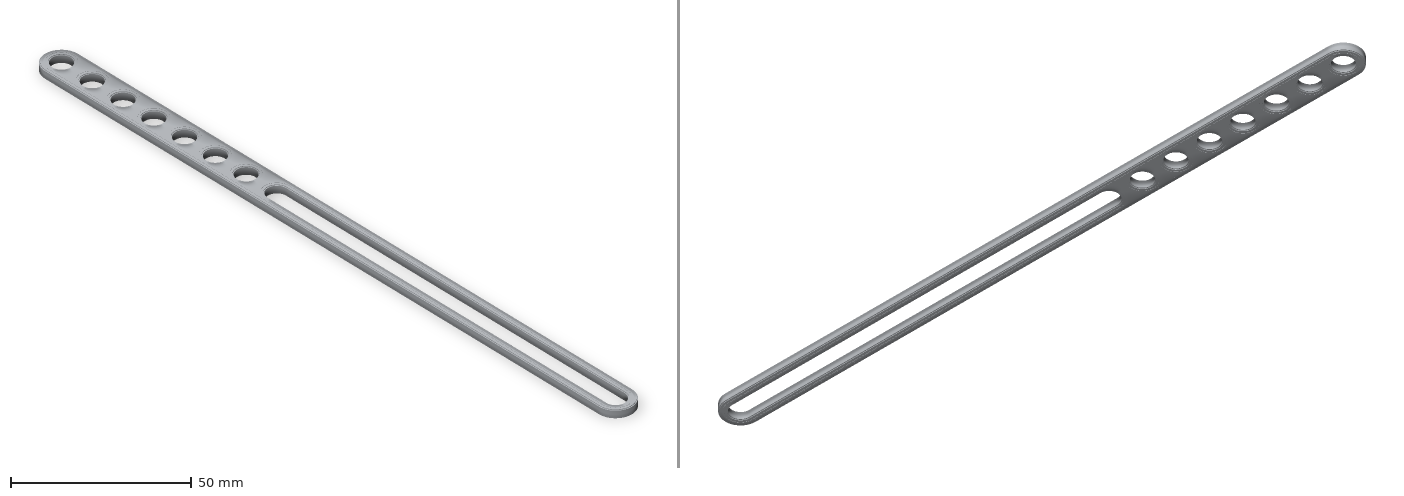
import cadquery as cq

length = 237.5
unit_count = 19
hole_count = 7
pitch = length / unit_count
width = pitch
thickness = pitch / 4

shallow_step = (1.15, 0.07)
deep_step = (0.3, 0.28)

rim_diameter = 9.3
hole_diameter = rim_diameter - 2 * shallow_step[0]

first_center = (width - length) / 2
last_center = -first_center
slot_start = first_center + hole_count * pitch
slot_center = (slot_start + last_center) / 2
slot_span = last_center - slot_start
hole_centers = [(first_center + i * pitch, 0) for i in range(hole_count)]


def bar_layer(inset, bottom, top):
    """Round-ended slab between two heights, set in from the full outline."""
    plane = cq.Workplane("XY").workplane(offset=bottom)
    return plane.slot2D(length - 2 * inset, width - 2 * inset).extrude(top - bottom)


def openings_layer(inset, bottom, top):
    """Holes and long slot between two heights, widened past the through size."""
    diameter = hole_diameter + 2 * inset
    plane = cq.Workplane("XY").workplane(offset=bottom)
    holes = plane.pushPoints(hole_centers).circle(diameter / 2).extrude(top - bottom)
    slot = plane.center(slot_center, 0).slot2D(slot_span + diameter, diameter).extrude(top - bottom)
    return holes.union(slot)


def stepped_bar():
    """Solid bar whose top and bottom edges step inward."""
    bar = bar_layer(shallow_step[0], 0, thickness)
    bar = bar.union(bar_layer(deep_step[0], shallow_step[1], thickness - shallow_step[1]))
    return bar.union(bar_layer(0, deep_step[1], thickness - deep_step[1]))


def cut_openings(bar):
    """Cut the holes and the slot, widened in steps at both faces."""
    bar = bar.cut(openings_layer(0, 0, thickness))
    for inset, depth in (shallow_step, deep_step):
        bar = bar.cut(openings_layer(inset, 0, depth))
        bar = bar.cut(openings_layer(inset, thickness - depth, thickness))
    return bar


result = cut_openings(stepped_bar())